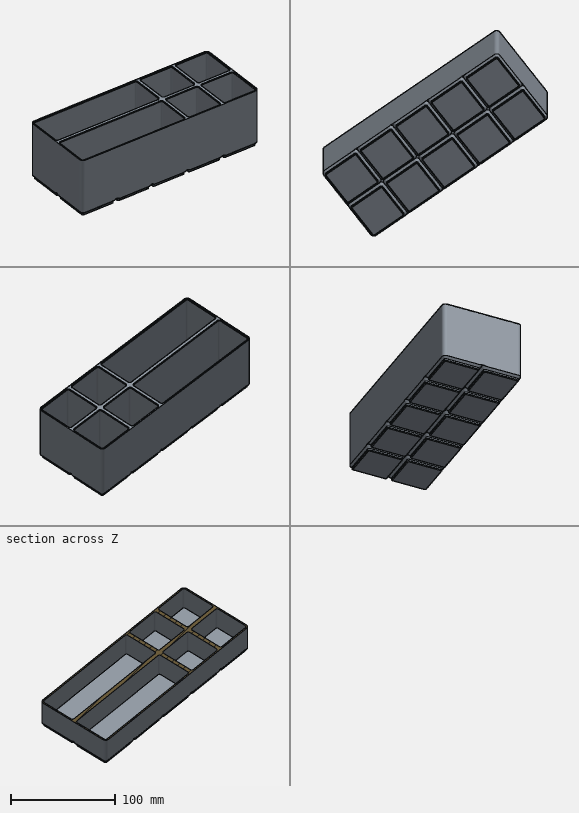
import cadquery as cq

COLUMNS = 2
ROWS = 5
LENGTH = 209.5
CELL_GAP = 0.5
PITCH = (LENGTH + CELL_GAP) / ROWS
WIDTH = COLUMNS * PITCH - CELL_GAP
HEIGHT = 65
CORNER_RADIUS = 3.8

TOE_CHAMFER = 0.8
NECK_HEIGHT = 1.8
NECK_RADIUS = 1.6
NECK_INSET = CORNER_RADIUS - NECK_RADIUS + CELL_GAP / 2
FLARE_OVERREACH = 0.4
FLARE = NECK_INSET + FLARE_OVERREACH
FLARE_BOTTOM = TOE_CHAMFER + NECK_HEIGHT
FOOT_HEIGHT = FLARE_BOTTOM + FLARE
FOOT_OVERLAP = 0.2

COMPARTMENT_ROWS = (3, 1, 1)
WALL = 2.0
FLOOR_TOP = 7.1
POCKET_RADIUS = CORNER_RADIUS - WALL
RIM_CHAMFER = 0.73
RIM_OVERRUN = 1.0


def rounded_prism(size_x, size_y, bottom, height, radius):
    """Upright block centred on Z with rounded vertical edges."""
    prism = cq.Workplane("XY").workplane(offset=bottom).rect(size_x, size_y).extrude(height)
    return prism.edges("|Z").fillet(radius)


def make_foot():
    """Foot of one cell: chamfered toe, straight neck, then a flare that outgrows the cell."""
    neck_size = PITCH - 2 * NECK_INSET
    neck = rounded_prism(neck_size, neck_size, 0, FOOT_HEIGHT, NECK_RADIUS)
    neck = neck.faces("<Z").chamfer(TOE_CHAMFER)
    top_size = neck_size + 2 * FLARE
    flare = rounded_prism(top_size, top_size, FLARE_BOTTOM, FLARE + FOOT_OVERLAP, NECK_RADIUS + FLARE)
    return neck.union(flare.faces("<Z").chamfer(FLARE))


def make_pocket(size_x, size_y):
    """Compartment void, flaring out at the rim."""
    void = rounded_prism(size_x, size_y, FLOOR_TOP, HEIGHT - FLOOR_TOP, POCKET_RADIUS)
    rim_x = size_x + 2 * RIM_CHAMFER
    rim_y = size_y + 2 * RIM_CHAMFER
    rim_radius = POCKET_RADIUS + RIM_CHAMFER
    rim = rounded_prism(rim_x, rim_y, HEIGHT - RIM_CHAMFER, RIM_CHAMFER + RIM_OVERRUN, rim_radius)
    return void.union(rim.faces("<Z").chamfer(RIM_CHAMFER))


def column_centre(column):
    """X of the middle of a column of cells."""
    return (column - (COLUMNS - 1) / 2) * PITCH


def row_centre(row):
    """Y of the middle of a row of cells; halves fall between rows."""
    return (row - (ROWS - 1) / 2) * PITCH


foot = make_foot()
feet = cq.Workplane("XY")
for column in range(COLUMNS):
    for row in range(ROWS):
        feet = feet.union(foot.translate((column_centre(column), row_centre(row), 0)))
envelope = rounded_prism(WIDTH, LENGTH, 0, HEIGHT, CORNER_RADIUS)
body = rounded_prism(WIDTH, LENGTH, FOOT_HEIGHT, HEIGHT - FOOT_HEIGHT, CORNER_RADIUS)
result = body.union(feet.intersect(envelope))

pocket_x = PITCH - CELL_GAP - 2 * WALL
first_row = 0
for rows in COMPARTMENT_ROWS:
    pocket_y = rows * PITCH - CELL_GAP - 2 * WALL
    pocket = make_pocket(pocket_x, pocket_y)
    middle = row_centre(first_row + (rows - 1) / 2)
    for column in range(COLUMNS):
        result = result.cut(pocket.translate((column_centre(column), middle, 0)))
    first_row += rows